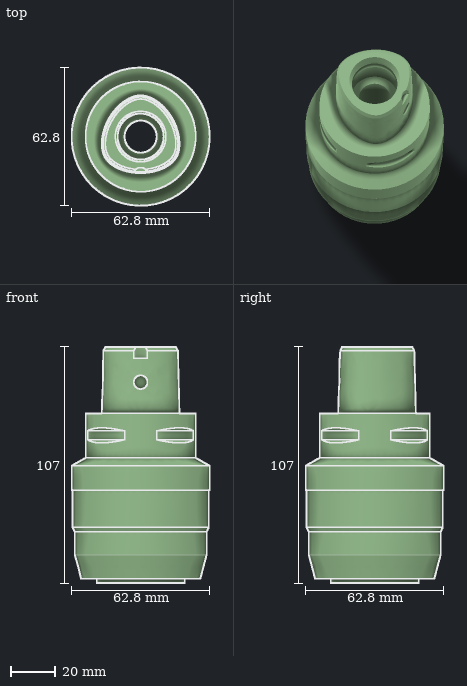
import cadquery as cq
import math

length = 107.0
nose_radius = 20.0
nose_height = 2.0
nut_end_radius = 27.1
nut_taper_top = 13.0
nut_radius = 30.0
nut_top = 23.3
sleeve_radius = 30.9
sleeve_bottom = 25.4
collar_radius = 31.4
collar_bottom = 42.2
collar_top = 53.2
flange_radius = 50.0 / 2
flange_bottom = 56.8
flange_top = 76.9

shank_mean_radius = 17.7
lobe_height = 1.1
shank_taper = 1 / 20
shank_chamfer_height = 1.7
shank_chamfer_width = 1.0
outline_points = 36

mouth_radius = 11.5
lip_radius = 10.4
lip_depth = 3.3
lip_height = 1.6
groove_radius = 12.4
groove_depth = 8.3
bore_radius = 10.7
bore_depth = 21.4
through_radius = 14.4 / 2

notch_radius = 3.5
notch_axis_offset = 17.5
notch_depth = 5.1
side_hole_radius = 3.1
side_hole_z = 91.1
side_hole_floor = 11.6

slot_count = 4
slot_first_angle = 45
slot_z = 67.0
slot_floor_offset = 22.0
slot_floor_height = 4.0
slot_mouth_height = 6.8

shank_chamfer_z = length - shank_chamfer_height


def make_body():
    """Revolve the outer steps from the nose up to the flange face."""
    profile = [
        (0, 0),
        (nose_radius, 0),
        (nose_radius, nose_height),
        (nut_end_radius, nose_height),
        (nut_radius, nut_taper_top),
        (nut_radius, nut_top),
        (sleeve_radius, sleeve_bottom),
        (sleeve_radius, collar_bottom),
        (collar_radius, collar_bottom),
        (collar_radius, collar_top),
        (flange_radius, flange_bottom),
        (flange_radius, flange_top),
        (0, flange_top),
    ]
    return cq.Workplane("XZ").polyline(profile).close().revolve(360, (0, 0, 0), (0, 1, 0))


def lobed_point(mean_radius, angle):
    """Point of a constant-width three-lobed outline with one lobe on +Y."""
    phase = 3 * (angle - math.pi / 2)
    support = mean_radius + lobe_height * math.cos(phase)
    slope = -3 * lobe_height * math.sin(phase)
    x = support * math.cos(angle) - slope * math.sin(angle)
    y = support * math.sin(angle) + slope * math.cos(angle)
    return x, y


def lobed_wire(mean_radius, z):
    """Smooth closed three-lobed outline at height z."""
    points = []
    for i in range(outline_points):
        x, y = lobed_point(mean_radius, 2 * math.pi * i / outline_points)
        points.append(cq.Vector(x, y, z))
    return cq.Wire.assembleEdges([cq.Edge.makeSpline(points, periodic=True)])


def make_shank():
    """Tapered shank with a chamfered upper end."""
    upper_radius = shank_mean_radius - (shank_chamfer_z - flange_top) * shank_taper / 2
    lower = lobed_wire(shank_mean_radius, flange_top)
    upper = lobed_wire(upper_radius, shank_chamfer_z)
    end = lobed_wire(upper_radius - shank_chamfer_width, length)
    taper = cq.Solid.makeLoft([lower, upper], True)
    chamfer = cq.Solid.makeLoft([upper, end], True)
    return cq.Workplane(taper).union(cq.Workplane(chamfer))


def make_bore():
    """Cutter for the conical mouth, wider clamping groove, bore and through hole."""
    lip_z = length - lip_depth
    groove_z = length - groove_depth
    groove_taper = groove_radius - bore_radius
    bore_z = length - bore_depth
    profile = [
        (0, length),
        (mouth_radius, length),
        (lip_radius, lip_z),
        (lip_radius, lip_z - lip_height),
        (groove_radius, lip_z - lip_height),
        (groove_radius, groove_z),
        (bore_radius, groove_z - groove_taper),
        (bore_radius, bore_z),
        (through_radius, bore_z),
        (through_radius, 0),
        (0, 0),
    ]
    return cq.Workplane("XZ").polyline(profile).close().revolve(360, (0, 0, 0), (0, 1, 0))


def make_notch():
    """Cutter for the round-backed notch, open at the shank end."""
    return (
        cq.Workplane("XY", origin=(0, -notch_axis_offset, length - notch_depth))
        .circle(notch_radius)
        .extrude(notch_depth)
    )


def make_side_hole():
    """Cutter for the flat-bottomed hole, running along -Y."""
    return (
        cq.Workplane("XZ", origin=(0, -side_hole_floor, side_hole_z))
        .circle(side_hole_radius)
        .extrude(shank_mean_radius - side_hole_floor)
    )


def make_slot(angle):
    """Cutter for a straight slot across the flange with a flat floor and sloping sides."""
    profile = [
        (slot_floor_offset, slot_z - slot_floor_height / 2),
        (flange_radius, slot_z - slot_mouth_height / 2),
        (flange_radius, slot_z + slot_mouth_height / 2),
        (slot_floor_offset, slot_z + slot_floor_height / 2),
    ]
    slot = cq.Workplane("XZ").polyline(profile).close().extrude(flange_radius, both=True)
    return slot.rotate((0, 0, 0), (0, 0, 1), angle)


result = make_body().union(make_shank())
result = result.cut(make_bore()).cut(make_notch()).cut(make_side_hole())
for i in range(slot_count):
    result = result.cut(make_slot(slot_first_angle + 360 / slot_count * i))